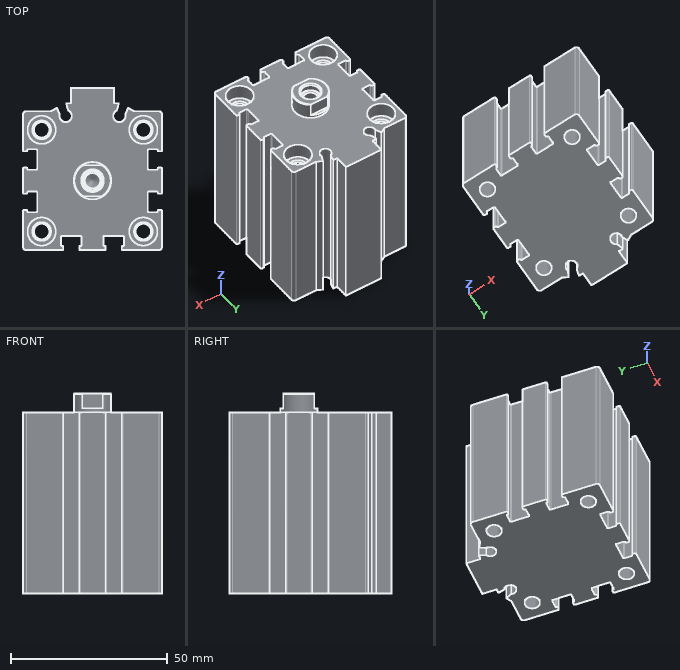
import cadquery as cq
import math

total_height = 64.0
block_width = 44.5
housing_height = 58.0
corner_radius = 1.0
half_width = block_width / 2

rail_half_width = 6.9
rail_top_y = 29.7
shoulder_half_width = 8.4
shoulder_y = 24.8

groove_center_x = 8.6
groove_center_y = 20.7
groove_radius = 1.9
lip_root = (7.5, 21.9)
lip_middle = (8.05, 23.2)
ridge_tip = (11.4, 23.3)
ridge_inner_foot = (10.3, 20.9)
ridge_outer_foot = (13.3, half_width)

slot_offset = 6.8
slot_mouth_width = 5.1
slot_inner_width = 6.5
slot_lip_depth = 1.4
slot_depth = 4.55
slot_fillet = 0.25
slot_lip_radius = 0.4

thread_bore_diameter = 4.9
thread_lead_diameter = 6.0
thread_lead_depth = 0.45

mount_spacing = 32.5
mount_counterbore_diameter = 9.0
mount_counterbore_depth = 5.5

rod_diameter = 12.0
rod_chamfer = 0.2
rod_socket_depth = 12.8
flat_distance = 10.0
flat_height = 4.8

rod_mouth_diameter = 7.3
rod_recess_diameter = 6.4
rod_recess_depth = 2.6
rod_bore_depth = 12.0
drill_point_angle = 118.0

rod_bottom_z = housing_height - rod_socket_depth
rod_length = total_height - rod_bottom_z


def prism(sketch):
    """Extrude a closed plan outline over the full housing height."""
    return sketch.close().extrude(housing_height)


def make_rail():
    """Rail with its shoulders and the sharp ridges outside the two grooves."""
    def bar(bar_half_width, top_y):
        bar_size = (2 * bar_half_width, top_y, housing_height)
        return cq.Workplane("XY").box(*bar_size, centered=(True, False, False))

    ridge = prism(cq.Workplane("XY").polyline([ridge_outer_foot, ridge_tip, ridge_inner_foot]))
    return (
        bar(rail_half_width, rail_top_y)
        .union(bar(shoulder_half_width, shoulder_y))
        .union(ridge)
        .union(ridge.mirror("YZ"))
    )


def make_groove():
    """Keyhole groove on the +X side of the rail."""
    pocket = (
        cq.Workplane("XY")
        .center(groove_center_x, groove_center_y)
        .circle(groove_radius)
        .extrude(housing_height)
    )
    neck = prism(
        cq.Workplane("XY")
        .moveTo(*lip_root)
        .threePointArc(lip_middle, (shoulder_half_width, shoulder_y))
        .lineTo(*ridge_tip)
        .lineTo(*ridge_inner_foot)
        .lineTo(groove_center_x, groove_center_y)
    )
    return pocket.union(neck)


def make_slot(offset):
    """T-slot in the -Y face with rounded lips, centred at the given X offset."""
    def pocket(width, depth):
        pocket_size = (width, depth, housing_height)
        return (
            cq.Workplane("XY")
            .box(*pocket_size, centered=(True, False, False))
            .translate((offset, -half_width, 0))
        )

    lip_band = pocket(slot_inner_width, slot_lip_depth)
    chamber = pocket(slot_inner_width, slot_depth).cut(lip_band).edges("|Z").fillet(slot_fillet)

    lips = (
        pocket(2 * slot_inner_width, slot_lip_depth)
        .cut(pocket(slot_mouth_width, slot_lip_depth))
    )
    mouth_edges = cq.selectors.BoxSelector(
        (offset - slot_inner_width / 2, -block_width, 0),
        (offset + slot_inner_width / 2, 0, housing_height),
    )
    lips = lips.edges("|Z").edges(mouth_edges).fillet(slot_lip_radius)
    return chamber.union(lip_band.cut(lips))


def make_mount_hole():
    """Through bore on the Z axis with a counterbore and a conical lead-in at its floor."""
    bore_radius = thread_bore_diameter / 2
    lead_radius = thread_lead_diameter / 2
    counterbore_radius = mount_counterbore_diameter / 2
    floor_z = housing_height - mount_counterbore_depth
    return (
        cq.Workplane("XZ")
        .polyline([
            (0, 0),
            (bore_radius, 0),
            (bore_radius, floor_z - thread_lead_depth),
            (lead_radius, floor_z),
            (counterbore_radius, floor_z),
            (counterbore_radius, housing_height),
            (0, housing_height),
        ])
        .close()
        .revolve(360, (0, 0), (0, 1))
    )


def make_housing():
    body = (
        cq.Workplane("XY")
        .box(block_width, block_width, housing_height, centered=(True, True, False))
        .edges("|Z")
        .fillet(corner_radius)
        .union(make_rail())
    )
    groove = make_groove()
    body = body.cut(groove).cut(groove.mirror("YZ"))

    for face_angle in (0, 90, -90):
        for offset in (-slot_offset, slot_offset):
            body = body.cut(make_slot(offset).rotate((0, 0, 0), (0, 0, 1), face_angle))

    mount_hole = make_mount_hole()
    for x in (-mount_spacing / 2, mount_spacing / 2):
        for y in (-mount_spacing / 2, mount_spacing / 2):
            body = body.cut(mount_hole.translate((x, y, 0)))

    socket = (
        cq.Workplane("XY", origin=(0, 0, rod_bottom_z))
        .circle(rod_diameter / 2)
        .extrude(rod_socket_depth)
    )
    return body.cut(socket)


def make_rod_hole():
    """Chamfered recess above a drilled bore with a conical lead-in and end."""
    mouth_radius = rod_mouth_diameter / 2
    recess_radius = rod_recess_diameter / 2
    lead_radius = thread_lead_diameter / 2
    bore_radius = thread_bore_diameter / 2
    point_depth = bore_radius / math.tan(math.radians(drill_point_angle / 2))
    recess_z = total_height - rod_recess_depth
    bore_end_z = total_height - rod_bore_depth
    return (
        cq.Workplane("XZ")
        .polyline([
            (0, total_height),
            (mouth_radius, total_height),
            (recess_radius, total_height - (mouth_radius - recess_radius)),
            (recess_radius, recess_z),
            (lead_radius, recess_z),
            (bore_radius, recess_z - thread_lead_depth),
            (bore_radius, bore_end_z),
            (0, bore_end_z - point_depth),
        ])
        .close()
        .revolve(360, (0, 0), (0, 1))
    )


def make_rod():
    """Round rod with two wrench flats facing -Y and +Y."""
    rod = (
        cq.Workplane("XY", origin=(0, 0, rod_bottom_z))
        .circle(rod_diameter / 2)
        .extrude(rod_length)
        .faces(">Z")
        .chamfer(rod_chamfer)
    )
    flat_cutter = cq.Workplane("XY").box(
        rod_diameter, rod_diameter, flat_height, centered=(True, False, False)
    )
    flat_cutter = flat_cutter.translate((0, flat_distance / 2, total_height - flat_height))
    rod = rod.cut(flat_cutter).cut(flat_cutter.mirror("XZ"))
    return rod.cut(make_rod_hole())


housing = make_housing()
rod = make_rod()

result = cq.Compound.makeCompound([housing.val(), rod.val()])